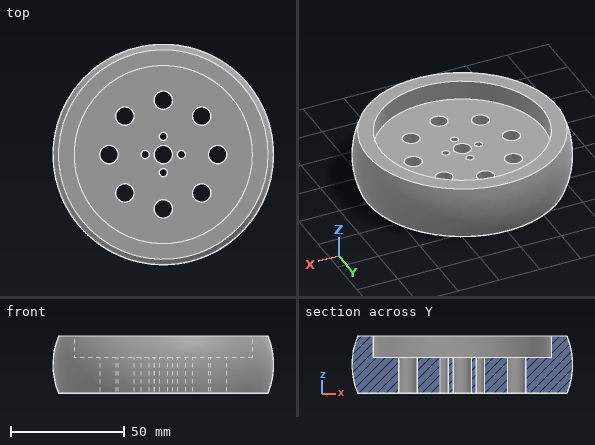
import cadquery as cq

wheel_diameter = 97.6
wheel_width = 25.4
face_diameter = 92.6

recess_diameter = 78.8
recess_depth = 9.5

bore_diameter = 8.0
outer_hole_diameter = bore_diameter
outer_hole_count = 8
outer_hole_circle_radius = 24.0
screw_hole_diameter = 3.5
screw_hole_count = 4
screw_hole_circle_radius = 8.0


def make_crowned_body():
    """Revolve a half section whose rim bulges outward as one arc."""
    half_width = wheel_width / 2
    face_radius = face_diameter / 2
    return (
        cq.Workplane("XZ")
        .moveTo(0, -half_width)
        .lineTo(face_radius, -half_width)
        .threePointArc((wheel_diameter / 2, 0), (face_radius, half_width))
        .lineTo(0, half_width)
        .close()
        .revolve(360, (0, 0), (0, 1))
    )


def cut_recess(body):
    """Sink the round recess into the upper face."""
    return body.faces(">Z").workplane().circle(recess_diameter / 2).cutBlind(-recess_depth)


def cut_hole_ring(body, circle_radius, count, diameter):
    """Cut evenly spaced through holes, the first one on the +X axis."""
    holes = (
        cq.Workplane("XY")
        .polarArray(circle_radius, 0, 360, count)
        .circle(diameter / 2)
        .extrude(wheel_width, both=True)
    )
    return body.cut(holes)


def cut_bore(body):
    """Cut the central axle bore through the web."""
    bore = cq.Workplane("XY").circle(bore_diameter / 2).extrude(wheel_width, both=True)
    return body.cut(bore)


wheel = make_crowned_body()
wheel = cut_recess(wheel)
wheel = cut_bore(wheel)
wheel = cut_hole_ring(wheel, outer_hole_circle_radius, outer_hole_count, outer_hole_diameter)
wheel = cut_hole_ring(wheel, screw_hole_circle_radius, screw_hole_count, screw_hole_diameter)

result = wheel